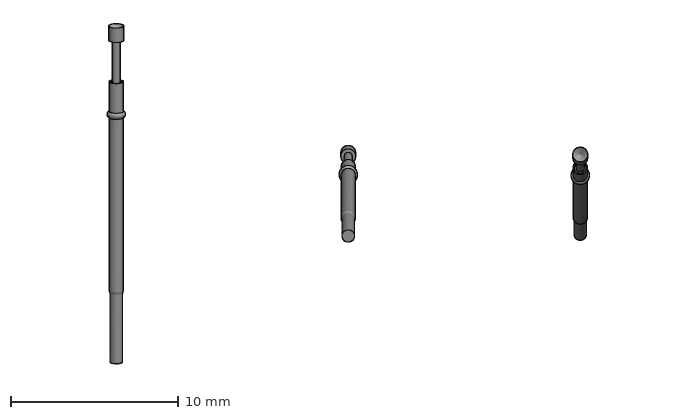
import cadquery as cq

total_length = 21.05
tail_length = 4.3
shoulder_taper_height = 0.19
barrel_top = 17.55
collar_center = 15.51
head_height = 0.9

tail_diameter = 0.75
barrel_diameter = 0.86
collar_diameter = 1.12

stem_diameter = 0.48
head_diameter = 0.9
guide_diameter = 0.67
bore_diameter = 0.7

cup_depth = 0.45
bore_depth = 4.2
guide_recess = 0.08
collar_profile_radius = 0.2

tail_radius = tail_diameter / 2
barrel_radius = barrel_diameter / 2
stem_radius = stem_diameter / 2
head_radius = head_diameter / 2
guide_radius = guide_diameter / 2
bore_radius = bore_diameter / 2
collar_profile_center = collar_diameter / 2 - collar_profile_radius

shoulder_level = tail_length + shoulder_taper_height
bore_floor = barrel_top - bore_depth
guide_top = barrel_top - guide_recess
head_bottom = total_length - head_height


def revolve_about_axis(profile):
    """Revolve a closed profile drawn in the XZ plane a full turn about Z."""
    return profile.revolve(360, (0, 0, 0), (0, 1, 0))


def make_barrel():
    """Round barrel with a slimmer tail, a rounded collar and a blind bore open at the top."""
    body = revolve_about_axis(
        cq.Workplane("XZ")
        .lineTo(tail_radius, 0)
        .lineTo(tail_radius, tail_length)
        .lineTo(barrel_radius, shoulder_level)
        .lineTo(barrel_radius, barrel_top)
        .lineTo(0, barrel_top)
        .close()
    )
    collar = revolve_about_axis(
        cq.Workplane("XZ").moveTo(collar_profile_center, collar_center).circle(collar_profile_radius)
    )
    bore = cq.Workplane("XY", origin=(0, 0, bore_floor)).circle(bore_radius).extrude(bore_depth)
    return body.union(collar).cut(bore)


def make_plunger():
    """Guide resting on the bore floor, thin stem, and head hollowed by a cone that reaches its rim."""
    return revolve_about_axis(
        cq.Workplane("XZ")
        .moveTo(0, bore_floor)
        .lineTo(guide_radius, bore_floor)
        .lineTo(guide_radius, guide_top)
        .lineTo(stem_radius, guide_top)
        .lineTo(stem_radius, head_bottom)
        .lineTo(head_radius, head_bottom)
        .lineTo(head_radius, total_length)
        .lineTo(0, total_length - cup_depth)
        .close()
    )


barrel = make_barrel()
plunger = make_plunger()
result = cq.Compound.makeCompound([barrel.solids().val(), plunger.solids().val()])